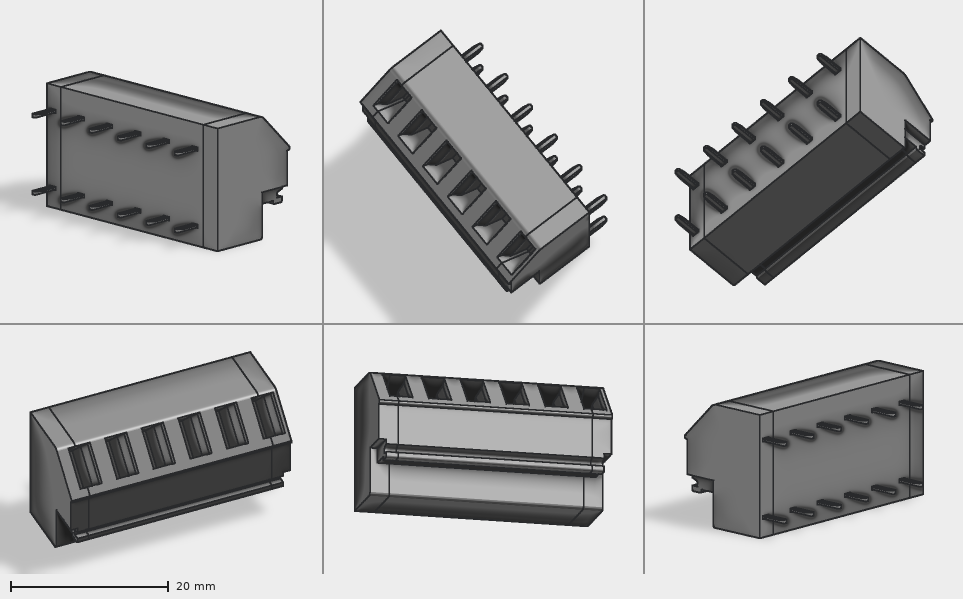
import cadquery as cq
import math


poles = 6
strip_length = 30.48
pitch = strip_length / poles
end_length = pitch / 2

height = 16.2
base_depth = 8.08
face_depth = 12.62
overhang_height = 6.2
slope_top_depth = 8.05
top_radius = 1.05
base_radius = 0.4
lip_depth = 13.0
lip_underside_height = 10.75
lip_underside_slope = 0.3
lip_radius = 0.18

foot_inset = 0.98
foot_underside = 4.27
foot_bottom = 3.8
hook_top = 4.55
hook_inner_depth = 11.03
hook_radius = 0.25
notch_depth = 11.75
notch_mouth_height = 5.58
notch_roof_height = 5.27
notch_radius = 0.27

entry_first_x = 2.0
entry_width = 3.0
throat_width = 1.9
entry_front_depth = 8.35
entry_back_depth = 12.15
funnel_start = 1.07
funnel_end = 2.4
floor_bend = 3.55
floor_draft = 2.0
entry_depth = 6.1
entry_overshoot = 0.3

pin_first_x = 1.07
pin_low_height = 2.62
pin_row_spacing = 2 * pitch
pin_length = 3.47
pin_width = 1.0
pin_thickness = 0.45
pin_bevel_width = 0.23
pin_bevel_height = 0.098
pin_taper_length = 0.98
pin_tip_width = 0.58
pin_root_length = 0.1
pin_tip_radius = 0.2


def round_edge(body, depth, level, radius):
    """Round the edge that runs along X at the given Y and Z."""
    reach = 0.03
    corner = cq.selectors.BoxSelector(
        (-strip_length, depth - reach, level - reach),
        (2 * strip_length, depth + reach, level + reach),
    )
    return body.edges("|X").edges(corner).fillet(radius)


def slope_height(depth):
    """Height of the 45 degree slope at the given Y."""
    return height - (depth - slope_top_depth)


def housing_block(start, end):
    """Housing cross-section with the sloping wire side and its lip."""
    lip_top_height = slope_height(lip_depth)
    lip_bottom_height = lip_underside_height + lip_underside_slope * (lip_depth - face_depth)
    block = (
        cq.Workplane("YZ", origin=(start, 0, 0))
        .polyline([
            (0, 0),
            (base_depth, 0),
            (base_depth, overhang_height),
            (face_depth, overhang_height),
            (face_depth, lip_underside_height),
            (lip_depth, lip_bottom_height),
            (lip_depth, lip_top_height),
            (slope_top_depth, height),
            (0, height),
        ])
        .close()
        .extrude(end - start)
    )
    block = round_edge(block, base_depth, 0, base_radius)
    block = round_edge(block, lip_depth, lip_bottom_height, lip_radius)
    return round_edge(block, slope_top_depth, height, top_radius)


def snap_foot(start, end):
    """Foot with a notch and a rounded hook, joined to the overhang and the base wall."""
    foot = (
        cq.Workplane("YZ", origin=(start, 0, 0))
        .polyline([
            (base_depth, overhang_height),
            (base_depth, foot_underside),
            (hook_inner_depth, foot_underside),
            (hook_inner_depth, foot_bottom),
            (face_depth, foot_bottom),
            (face_depth, hook_top),
            (notch_depth, hook_top),
            (notch_depth, notch_roof_height),
            (face_depth, notch_mouth_height),
            (face_depth, overhang_height),
        ])
        .close()
        .extrude(end - start)
    )
    foot = round_edge(foot, hook_inner_depth, foot_bottom, hook_radius)
    foot = round_edge(foot, face_depth, foot_bottom, hook_radius)
    return round_edge(foot, notch_depth, notch_roof_height, notch_radius)


def wire_entry(center_x):
    """Cutter for one entry: a straight mouth, a funnel in width and a throat with a drafted floor."""
    mouth_length = (entry_back_depth - entry_front_depth) * math.sqrt(2)
    floor_rise = (entry_depth - floor_bend) * math.tan(math.radians(floor_draft))
    mouth_edge = (center_x, entry_back_depth, slope_height(entry_back_depth))
    up_slope = (0, -1, 1)
    half_entry = entry_width / 2
    half_throat = throat_width / 2
    plan = (
        cq.Workplane(cq.Plane(mouth_edge, xDir=(-1, 0, 0), normal=up_slope))
        .polyline([
            (-half_entry, -entry_overshoot),
            (half_entry, -entry_overshoot),
            (half_entry, funnel_start),
            (half_throat, funnel_end),
            (half_throat, entry_depth),
            (-half_throat, entry_depth),
            (-half_throat, funnel_end),
            (-half_entry, funnel_start),
        ])
        .close()
        .extrude(mouth_length)
    )
    side = (
        cq.Workplane(cq.Plane(mouth_edge, xDir=up_slope, normal=(-1, 0, 0)))
        .polyline([
            (0, entry_overshoot),
            (mouth_length, entry_overshoot),
            (mouth_length, -entry_depth),
            (floor_rise, -entry_depth),
            (0, -floor_bend),
        ])
        .close()
        .extrude(half_entry, both=True)
    )
    return plan.intersect(side)


def pin(center_x, center_z):
    """Flat pin with a rectangular root, bevelled long edges and a tapered, rounded tip."""
    half_width = pin_width / 2
    half_thickness = pin_thickness / 2
    half_flat = half_width - pin_bevel_width
    half_side = half_thickness - pin_bevel_height
    bar = (
        cq.Workplane("XZ", origin=(center_x, 0, center_z))
        .polyline([
            (-half_flat, -half_thickness),
            (half_flat, -half_thickness),
            (half_width, -half_side),
            (half_width, half_side),
            (half_flat, half_thickness),
            (-half_flat, half_thickness),
            (-half_width, half_side),
            (-half_width, -half_side),
        ])
        .close()
        .extrude(pin_length)
    )
    root = (
        cq.Workplane("XZ", origin=(center_x, 0, center_z))
        .rect(pin_width, pin_thickness)
        .extrude(pin_root_length)
    )
    half_tip = pin_tip_width / 2
    plan = (
        cq.Workplane("XY", origin=(center_x, 0, center_z))
        .polyline([
            (-half_width, 0),
            (half_width, 0),
            (half_width, pin_taper_length - pin_length),
            (half_tip, -pin_length),
            (-half_tip, -pin_length),
            (-half_width, pin_taper_length - pin_length),
        ])
        .close()
        .extrude(half_thickness, both=True)
        .faces("<Y")
        .edges("|Z")
        .fillet(pin_tip_radius)
    )
    return bar.intersect(plan).union(root)


def strip_section(start, end):
    """One length of the strip with its share of the foot, wire entries and pins."""
    foot_start = max(start, foot_inset)
    foot_end = min(end, strip_length - foot_inset)
    section = housing_block(start, end).union(snap_foot(foot_start, foot_end))
    for pole in range(poles):
        section = section.cut(wire_entry(entry_first_x + pole * pitch))
        pin_x = pin_first_x + pole * pitch
        if start < pin_x < end:
            for row in range(2):
                section = section.union(pin(pin_x, pin_low_height + row * pin_row_spacing))
    return section.solids()


left_end = strip_section(0, end_length)
middle = strip_section(end_length, strip_length - end_length)
right_end = strip_section(strip_length - end_length, strip_length)

result = cq.Compound.makeCompound([left_end.val(), middle.val(), right_end.val()])